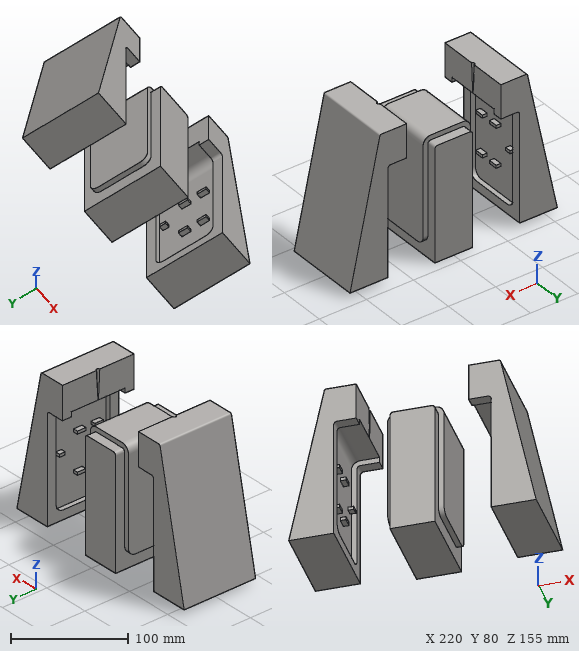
import cadquery as cq
overall_width = 220.0
depth = 80.0
jaw_height = 150.0
jaw_lift = 5.0

core_height = 120.0
core_round = 3.0

strap_thickness = 5.0
strap_depth = 60.0
strap_bottom = 15.0
strap_outer_round = core_round + strap_thickness

foot_width = 40.0
head_width = 60.0
crest_width = 28.2
crest_round = 2.0
jaw_top = jaw_lift + jaw_height
jaw_gap = overall_width - 2 * head_width
jaw_travel = jaw_gap / 2
outer_x = overall_width / 2
head_x = outer_x - head_width
foot_x = outer_x - foot_width
core_width = 2 * (foot_x - jaw_travel)
strap_width = core_width + 2 * strap_thickness
strap_top = core_height + strap_thickness

notch_top_radius = 1.8
notch_bottom_radius = 0.2

peg_length = 9.5
peg_height = 3.0
peg_protrusion = strap_thickness
peg_pitch_y = 19.5
peg_pitch_z = 41.0
near_peg_y = -18.0
peg_row_y = (near_peg_y, near_peg_y + peg_pitch_y)
lower_peg_z = 44.7
peg_row_z = (lower_peg_z, lower_peg_z + peg_pitch_z)

short_peg_length = 6.4
short_peg_y = 23.0
short_peg_z = 70.5


def block(width, length, bottom, top):
    """Box centred on X and Y between two heights."""
    return cq.Workplane("XY").workplane(offset=bottom).rect(width, length).extrude(top - bottom)


def make_core():
    core = block(core_width, depth, 0, core_height)
    return core.edges("|Y and >Z").fillet(core_round)


def make_strap_envelope():
    """Outer shape of the strap without the space for the core."""
    envelope = block(strap_width, strap_depth, strap_bottom, strap_top)
    envelope = envelope.edges("|X and <Z").fillet(strap_outer_round)
    return envelope.edges("|Y and >Z").fillet(strap_outer_round)


def make_jaw_profile():
    """Jaw with a sloped outer side, rounded at the crest and under the head."""
    jaw = (
        cq.Workplane("XZ")
        .moveTo(foot_x, jaw_lift)
        .lineTo(outer_x, jaw_lift)
        .lineTo(head_x + crest_width, jaw_top)
        .lineTo(head_x, jaw_top)
        .lineTo(head_x, core_height)
        .lineTo(foot_x, core_height)
        .close()
        .extrude(depth / 2, both=True)
    )
    jaw = jaw.faces(">Z").edges(">X").fillet(crest_round)
    inner_corner = cq.selectors.NearestToPointSelector((foot_x, 0, core_height))
    return jaw.edges(inner_corner).fillet(core_round)


def make_notch():
    """Cone that narrows from the jaw top down to the strap pocket."""
    notch = cq.Solid.makeCone(
        notch_bottom_radius,
        notch_top_radius,
        jaw_top - strap_top,
        pnt=cq.Vector(head_x, 0, strap_top),
    )
    return cq.Workplane(notch)


def make_peg(length, y, z):
    """Bar that stands on the pocket floor."""
    peg = cq.Workplane("XY").box(peg_protrusion, length, peg_height)
    return peg.translate((foot_x + strap_thickness - peg_protrusion / 2, y, z))


def make_right_jaw(strap_envelope):
    pocket = strap_envelope.translate((jaw_travel, 0, 0))
    jaw = make_jaw_profile().cut(pocket).cut(make_notch())
    for y in peg_row_y:
        for z in peg_row_z:
            jaw = jaw.union(make_peg(peg_length, y, z))
    return jaw.union(make_peg(short_peg_length, short_peg_y, short_peg_z))


core = make_core()
strap_envelope = make_strap_envelope()
strap = strap_envelope.cut(core)
right_jaw = make_right_jaw(strap_envelope)
left_jaw = right_jaw.mirror("YZ")

result = cq.Compound.makeCompound([core.val(), strap.val(), right_jaw.val(), left_jaw.val()])